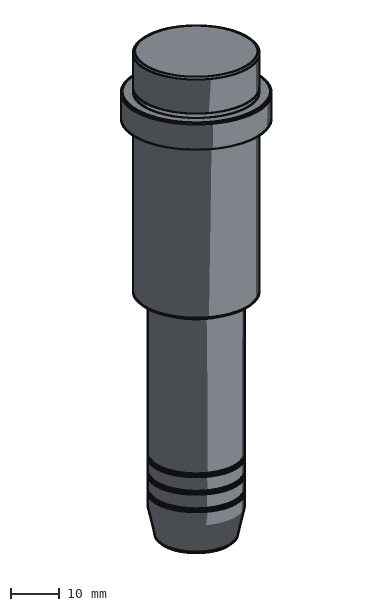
import cadquery as cq

TOTAL_HEIGHT = 110.0
SHOULDER_Z = 55.2
COLLAR_BOTTOM_Z = 94.8
COLLAR_HEIGHT = 6.0
COLLAR_TOP_Z = COLLAR_BOTTOM_Z + COLLAR_HEIGHT

COLLAR_DIAMETER = 31.0
BODY_DIAMETER = 26.1
SHANK_DIAMETER = 20.0
NECK_DIAMETER = 19.0
TIP_DIAMETER = 17.2

BODY_CHAMFER = 0.4
COLLAR_CHAMFER = 0.3
TIP_CHAMFER = 0.7
RELIEF_HEIGHT = 1.0
RELIEF_DEPTH = 0.7
NECK_HEIGHT = 1.3
TAPER_HEIGHT = 7.2

GROOVE_COUNT = 3
GROOVE_PITCH = 4.0
GROOVE_WIDTH = 0.9
GROOVE_DEPTH = 0.5
GROOVE_FLOOR = 0.2
LOWEST_GROOVE_Z = 10.2


def cylinder(diameter, bottom_z, top_z):
    return cq.Workplane("XY").workplane(offset=bottom_z).circle(diameter / 2).extrude(top_z - bottom_z)


def revolve_profile(points):
    """Revolve a closed (radius, z) outline around the Z axis."""
    return cq.Workplane("XZ").polyline(points).close().revolve(360, (0, 0), (0, 1))


def make_shank():
    shank = cylinder(SHANK_DIAMETER, TAPER_HEIGHT, SHOULDER_Z - NECK_HEIGHT)
    neck = cylinder(NECK_DIAMETER, SHOULDER_Z - NECK_HEIGHT, SHOULDER_Z)
    tip = revolve_profile([
        (0, 0),
        (TIP_DIAMETER / 2 - TIP_CHAMFER, 0),
        (TIP_DIAMETER / 2, TIP_CHAMFER),
        (SHANK_DIAMETER / 2, TAPER_HEIGHT),
        (0, TAPER_HEIGHT),
    ])
    return tip.union(shank).union(neck)


def make_body():
    body = cylinder(BODY_DIAMETER, SHOULDER_Z, TOTAL_HEIGHT)
    return body.faces("<Z or >Z").chamfer(BODY_CHAMFER)


def relief_cutter(top_z):
    """Undercut in the body, deepest under its flat top and flaring out to the body surface below."""
    radius = BODY_DIAMETER / 2
    return revolve_profile([
        (radius, top_z),
        (radius - RELIEF_DEPTH, top_z),
        (radius, top_z - RELIEF_HEIGHT),
    ])


def make_collar():
    collar = cylinder(COLLAR_DIAMETER, COLLAR_BOTTOM_Z, COLLAR_TOP_Z)
    return collar.faces(">Z").chamfer(COLLAR_CHAMFER)


def groove_cutter(bottom_z):
    """Saw-tooth ring groove: a flat lower ledge under a wall that slopes out to the shank surface."""
    radius = SHANK_DIAMETER / 2
    return revolve_profile([
        (radius, bottom_z),
        (radius - GROOVE_DEPTH, bottom_z),
        (radius - GROOVE_DEPTH, bottom_z + GROOVE_FLOOR),
        (radius, bottom_z + GROOVE_WIDTH),
    ])


result = make_shank().union(make_body()).union(make_collar())
result = result.cut(relief_cutter(COLLAR_TOP_Z + RELIEF_HEIGHT))
result = result.cut(relief_cutter(COLLAR_BOTTOM_Z))
for index in range(GROOVE_COUNT):
    result = result.cut(groove_cutter(LOWEST_GROOVE_Z + index * GROOVE_PITCH))